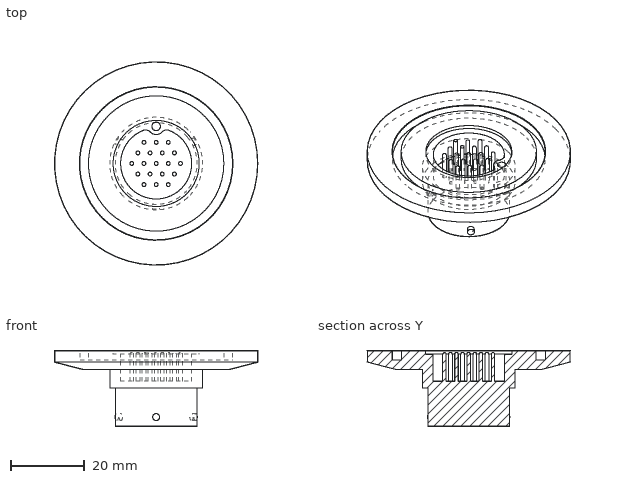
import cadquery as cq
import math

flange_diameter = 55.08
flange_rim_height = 3.175
flange_height = 5.15
flange_underside_diameter = 39.9
overall_height = 20.57

collar_diameter = 25.15
collar_bottom_depth = 10.16
barrel_diameter = 22.17

groove_outer_diameter = 41.4
groove_inner_diameter = 36.68
groove_depth = 2.54
groove_lead_in = 0.12

recess_diameter = 23.32
recess_depth = 1.0
cavity_diameter = 19.25
cavity_floor_depth = 8.3

key_center_y = 10.05
key_radius = 2.2
key_blend_radius = 1.8
key_hole_diameter = 2.29

pin_pitch = 3.3
pin_row_pitch = pin_pitch * math.sqrt(3) / 2
pins_per_row = [3, 4, 5, 4, 3]
pin_diameter = 1.02
pin_tip_depth = 0.5
flat_pins = [(0, 0), (1, 1)]

stud_diameter = 1.88
stud_tip_radius = 12.33
stud_height_above_bottom = 2.54
stud_angles = [30, 150, 270]

overlap = 1.0


def disc(diameter, top_depth, bottom_depth):
    """Upright cylinder on the part axis between two depths below the top face."""
    height = bottom_depth - top_depth
    return cq.Workplane("XY").workplane(offset=-bottom_depth).circle(diameter / 2).extrude(height)


def make_body():
    """Flange with tapered underside, collar and barrel as one turned piece."""
    outline = [
        (0, 0),
        (flange_diameter / 2, 0),
        (flange_diameter / 2, -flange_rim_height),
        (flange_underside_diameter / 2, -flange_height),
        (collar_diameter / 2, -flange_height),
        (collar_diameter / 2, -collar_bottom_depth),
        (barrel_diameter / 2, -collar_bottom_depth),
        (barrel_diameter / 2, -overall_height),
        (0, -overall_height),
    ]
    return cq.Workplane("XZ").polyline(outline).close().revolve(360, (0, 0), (0, 1))


def make_groove():
    """Ring groove with a bevelled outer lip."""
    inner_radius = groove_inner_diameter / 2
    outer_radius = groove_outer_diameter / 2
    section = [
        (inner_radius, 0),
        (outer_radius + groove_lead_in, 0),
        (outer_radius, -groove_lead_in),
        (outer_radius, -groove_depth),
        (inner_radius, -groove_depth),
    ]
    return cq.Workplane("XZ").polyline(section).close().revolve(360, (0, 0), (0, 1))


def make_cavity():
    """Round pin cavity with the key lobe left standing and blended into its wall."""
    cavity = disc(cavity_diameter, recess_depth, cavity_floor_depth)
    lobe = disc(2 * key_radius, recess_depth, cavity_floor_depth).translate((0, key_center_y, 0))
    blend_zone = cq.selectors.BoxSelector(
        (-2 * key_radius, key_center_y - 2 * key_radius, -cavity_floor_depth),
        (2 * key_radius, key_center_y + 2 * key_radius, -recess_depth),
    )
    return cavity.cut(lobe).edges("|Z").edges(blend_zone).fillet(key_blend_radius)


def make_pin(x, y, flat):
    """Contact pin standing on the cavity floor, flat or round ended."""
    pin_radius = pin_diameter / 2
    root_depth = cavity_floor_depth + overlap
    if flat:
        pin = disc(pin_diameter, pin_tip_depth, root_depth)
    else:
        dome_center_depth = pin_tip_depth + pin_radius
        dome = cq.Workplane("XY").sphere(pin_radius).translate((0, 0, -dome_center_depth))
        pin = disc(pin_diameter, dome_center_depth, root_depth).union(dome)
    return pin.translate((x, y, 0))


def make_stud(angle):
    """Bayonet stud pointing outward from the barrel, at an angle from +X."""
    root_radius = barrel_diameter / 2 - overlap
    stud = (
        cq.Workplane("YZ")
        .workplane(offset=root_radius)
        .center(0, stud_height_above_bottom - overall_height)
        .circle(stud_diameter / 2)
        .extrude(stud_tip_radius - root_radius)
    )
    return stud.rotate((0, 0, 0), (0, 0, 1), angle)


result = make_body()
result = result.cut(make_groove())
result = result.cut(disc(recess_diameter, 0, recess_depth))
result = result.cut(make_cavity())

key_hole = disc(key_hole_diameter, recess_depth, cavity_floor_depth)
result = result.cut(key_hole.translate((0, key_center_y, 0)))

for row, pin_count in enumerate(pins_per_row):
    pin_y = (row - (len(pins_per_row) - 1) / 2) * pin_row_pitch
    for place in range(pin_count):
        pin_x = (place - (pin_count - 1) / 2) * pin_pitch
        result = result.union(make_pin(pin_x, pin_y, (row, place) in flat_pins))

for stud_angle in stud_angles:
    result = result.union(make_stud(stud_angle))